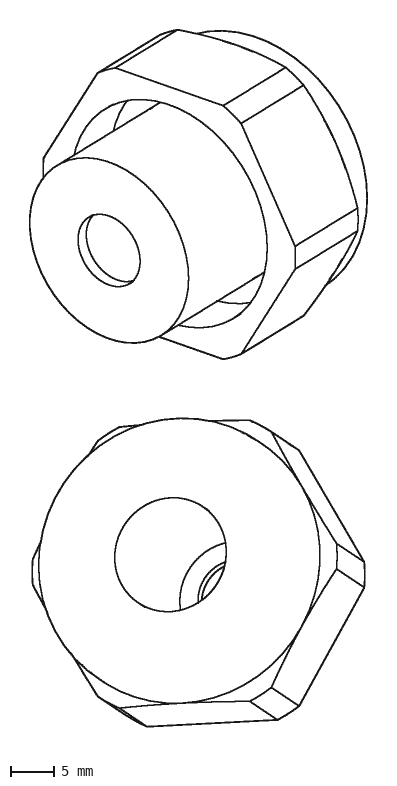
import cadquery as cq
import math

total_length = 29.5
across_flats = 33.0
corner_diameter = 36.5
sleeve_diameter = 23.0
bore_diameter = 8.98
bore_depth = 1.57
cavity_diameter = 13.35
recess_diameter = 28.32
recess_depth = 7.52

nut_front = 11.5
hex_end = 24.45
chamfer_angle = 30.0
dome_fillet = 2.95

dome_radius = across_flats / 2
corner_radius = corner_diameter / 2
hex_diameter = across_flats / math.cos(math.radians(30))
chamfer_length = (corner_radius - dome_radius) * math.tan(math.radians(chamfer_angle))


def cylinder(diameter, start, end):
    """Solid cylinder along +Y between two distances from the sleeve end."""
    plane = cq.Workplane("XZ", origin=(0, start, 0))
    return plane.circle(diameter / 2).extrude(start - end)


def hexagon():
    """Hexagon with flats at top and bottom, blunted corners and a chamfered rear."""
    prism = (
        cq.Workplane("XZ", origin=(0, nut_front, 0))
        .polygon(6, hex_diameter)
        .extrude(nut_front - hex_end)
    )
    turned_envelope = (
        cq.Workplane("XY")
        .moveTo(0, nut_front)
        .lineTo(corner_radius, nut_front)
        .lineTo(corner_radius, hex_end - chamfer_length)
        .lineTo(dome_radius, hex_end)
        .lineTo(0, hex_end)
        .close()
        .revolve(360, (0, 0, 0), (0, 1, 0))
    )
    return prism.intersect(turned_envelope)


def dome():
    """Round rear end with a filleted rim, set on the hexagon."""
    return cylinder(across_flats, hex_end, total_length).faces(">Y").edges().fillet(dome_fillet)


nut = hexagon().union(dome())
nut = nut.cut(cylinder(recess_diameter, nut_front, nut_front + recess_depth))

sleeve = cylinder(sleeve_diameter, 0, total_length - dome_fillet)
bore = cylinder(bore_diameter, 0, bore_depth)
cavity = cylinder(cavity_diameter, bore_depth, total_length)
result = nut.union(sleeve).cut(bore).cut(cavity)